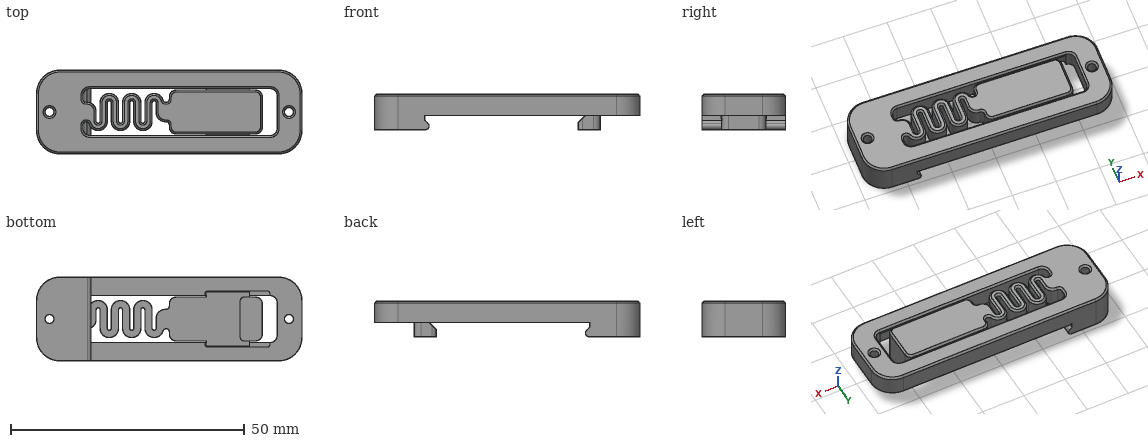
import cadquery as cq
import math

length = 56.9
width = 18.0
height = 7.6
corner_radius = 5.0
edge_chamfer = 0.425

plate_thickness = 4.6
plate_bottom = height - plate_thickness
foot_right = -17.65
foot_lip_radius = 0.55
heel_reach = 0.9
heel_radius = 0.8

hole_diameter = 1.9
hole_offset = 25.65

slot_left = -18.5
slot_right = 23.1
slot_half_width = 5.0
inner_radius = 1.5

paddle_left = 0.0
paddle_right = 20.0
side_gap = 0.3
paddle_half_width = slot_half_width - side_gap

strip_width = 1.6
bend_count = 6
spring_length = 12.0
bend_pitch = spring_length / (bend_count - 1)
bend_height = 2.0
bend_outer_radius = (bend_pitch + strip_width) / 2
bend_inner_radius = (bend_pitch - strip_width) / 2
neck_fillet = 0.7
root_overlap = 0.55
spring_middle = (slot_left + paddle_left) / 2
first_bend = spring_middle - spring_length / 2

hook_left = 15.2
hook_left_radius = 0.9
hook_chamfer = 1.4

rail_left = 7.9
rail_right = 17.25
rail_depth = 1.0
pocket_left = rail_left - side_gap
pocket_right = slot_right - inner_radius
pocket_top = 6.7
pocket_corner_radius = 0.75
rail_top = pocket_top - side_gap


def block(x_min, x_max, y_min, y_max, z_min, z_max):
    size = (x_max - x_min, y_max - y_min, z_max - z_min)
    return cq.Workplane("XY").box(*size, centered=False).translate((x_min, y_min, z_min))


def plate_slab(x_min, x_max, half_width):
    """Full-thickness piece of the plate, centred on the X axis."""
    return block(x_min, x_max, -half_width, half_width, plate_bottom, height)


def cylinder(x, y, radius):
    return cq.Workplane("XY", origin=(x, y, plate_bottom)).circle(radius).extrude(plate_thickness)


def make_heel():
    """Ridge along the foot: a 45 degree top slope running into a rounded nose."""
    nose_x = foot_right + heel_reach - heel_radius
    diagonal = heel_radius * math.sqrt(0.5)
    slope_x = nose_x + diagonal
    slope_z = heel_radius + diagonal
    return (
        cq.Workplane("XZ")
        .moveTo(foot_right, 0)
        .lineTo(nose_x, 0)
        .threePointArc((nose_x + heel_radius, heel_radius), (slope_x, slope_z))
        .lineTo(foot_right, slope_z + slope_x - foot_right)
        .close()
        .extrude(width / 2, both=True)
    )


def make_frame():
    """Plate with a hooked foot, an open slot and two side pockets."""
    body = block(-length / 2, length / 2, -width / 2, width / 2, 0, height)
    body = body.edges("|Z").fillet(corner_radius)
    body = body.cut(block(foot_right, length / 2, -width / 2, width / 2, 0, plate_bottom))

    slot = plate_slab(slot_left, slot_right, slot_half_width).edges("|Z").fillet(inner_radius)
    pocket_half_width = slot_half_width + rail_depth
    pockets = block(
        pocket_left, pocket_right, -pocket_half_width, pocket_half_width, plate_bottom, pocket_top
    )
    pockets = pockets.edges("|Z").fillet(pocket_corner_radius)
    body = body.cut(slot).cut(pockets)

    pick_margin = 0.05
    lip_box = cq.selectors.BoxSelector(
        (foot_right - pick_margin, -slot_half_width - pick_margin, plate_bottom - pick_margin),
        (foot_right + pick_margin, slot_half_width + pick_margin, plate_bottom + pick_margin),
    )
    body = body.edges(lip_box).fillet(foot_lip_radius)
    return body.union(make_heel())


def arc_point(x, y, radius, angle):
    return x + radius * math.cos(angle), y + radius * math.sin(angle)


def make_neck():
    """Left root of the spring: rounded notches free it from the slot wall and lead into the first bend."""
    reach = bend_outer_radius + neck_fillet
    notch_x = slot_left + neck_fillet
    neck_right = first_bend - bend_inner_radius
    crown_x = neck_right - bend_outer_radius

    notch_y = bend_height + math.sqrt(reach**2 - (first_bend - notch_x) ** 2)
    crown_y = notch_y - math.sqrt(reach**2 - (crown_x - notch_x) ** 2)
    bend_angle = math.atan2(notch_y - bend_height, first_bend - notch_x)
    crown_angle = math.atan2(crown_y - notch_y, crown_x - notch_x)

    crown_end = crown_angle + math.pi
    lower_notch = (notch_x, -notch_y, neck_fillet)
    upper_notch = (notch_x, notch_y, neck_fillet)
    crown = (crown_x, crown_y, bend_outer_radius)
    return (
        cq.Workplane("XY", origin=(0, 0, plate_bottom))
        .moveTo(slot_left - root_overlap, -notch_y)
        .lineTo(slot_left, -notch_y)
        .threePointArc(
            arc_point(*lower_notch, (math.pi + bend_angle) / 2), arc_point(*lower_notch, bend_angle)
        )
        .lineTo(neck_right, -bend_height)
        .lineTo(neck_right, crown_y)
        .threePointArc(arc_point(*crown, crown_end / 2), arc_point(*crown, crown_end))
        .threePointArc(
            arc_point(*upper_notch, (crown_angle - math.pi) / 2), arc_point(*upper_notch, -math.pi)
        )
        .lineTo(slot_left - root_overlap, notch_y)
        .close()
        .extrude(plate_thickness)
    )


def make_bend(index):
    """Half ring; even bends open upward and odd bends open downward."""
    x = first_bend + index * bend_pitch
    side = -1 if index % 2 == 0 else 1
    y = side * bend_height
    ring = cylinder(x, y, bend_outer_radius).cut(cylinder(x, y, bend_inner_radius))
    far_y = y + side * bend_outer_radius
    half = block(
        x - bend_outer_radius, x + bend_outer_radius, min(y, far_y), max(y, far_y), plate_bottom, height
    )
    return ring.intersect(half)


def make_spring():
    neck = make_neck()
    spring = neck.union(neck.rotate((spring_middle, 0, 0), (spring_middle, 0, 1), 180))
    for index in range(bend_count):
        spring = spring.union(make_bend(index))
    for index in range(bend_count - 1):
        leg_x = first_bend + (index + 0.5) * bend_pitch
        leg = plate_slab(leg_x - strip_width / 2, leg_x + strip_width / 2, bend_height)
        spring = spring.union(leg)
    return spring


def make_rails():
    """Rails on both long sides of the paddle, with tops sloping down at 45 degrees."""
    tip = paddle_half_width + rail_depth
    return (
        cq.Workplane("YZ", origin=(rail_left, 0, 0))
        .polyline([
            (-tip, plate_bottom),
            (tip, plate_bottom),
            (tip, rail_top - rail_depth),
            (paddle_half_width, rail_top),
            (-paddle_half_width, rail_top),
            (-tip, rail_top - rail_depth),
        ])
        .close()
        .extrude(rail_right - rail_left)
    )


def make_paddle():
    paddle = plate_slab(paddle_left, paddle_right, paddle_half_width).edges("|Z").fillet(inner_radius)
    hook = block(hook_left, paddle_right, -paddle_half_width, paddle_half_width, 0, plate_bottom)
    hook = hook.edges("|Z and <X").fillet(hook_left_radius)
    hook = hook.edges("|Z and >X").fillet(inner_radius)
    bevel = (
        cq.Workplane("XZ")
        .polyline([
            (hook_left, plate_bottom),
            (hook_left, plate_bottom - hook_chamfer),
            (hook_left + hook_chamfer, plate_bottom),
        ])
        .close()
        .extrude(paddle_half_width, both=True)
    )
    return paddle.union(make_rails()).union(hook.cut(bevel))


result = make_frame().union(make_spring()).union(make_paddle())
result = (
    result.faces(">Z").workplane(origin=(0, 0, height))
    .pushPoints([(-hole_offset, 0), (hole_offset, 0)])
    .hole(hole_diameter)
)
result = result.faces(">Z").edges().chamfer(edge_chamfer)